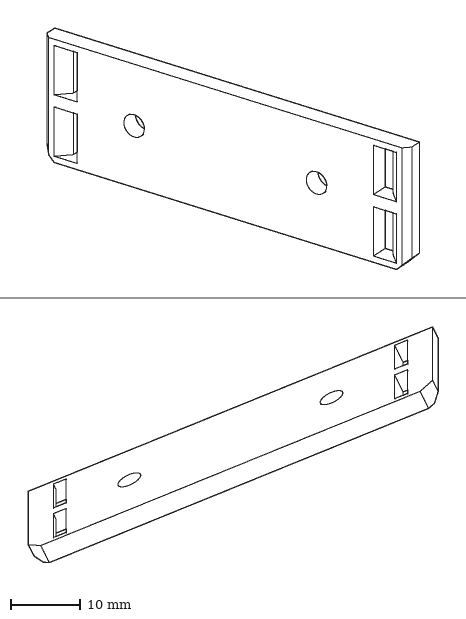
import cadquery as cq

length = 64.0
thickness = 3.0
height = 20.0
front_y = -thickness / 2
back_y = thickness / 2

corner_bevel = 2.0
end_bevel = 1.0

hole_diameter = 3.6
hole_offset = length / 4

slot_end_margin = 2.0
slot_edge_margin = 1.0
rib_height = 2.0
slot_height = (height - 2 * slot_edge_margin - rib_height) / 2
slot_offset_z = (slot_height + rib_height) / 2
slot_through_width = 2.05
slot_ramp = 2.0


def make_plate():
    """Plate with bevelled bottom corners and bevelled front edges at both ends."""
    plate = cq.Workplane("XY").box(length, thickness, height)
    plate = plate.faces("<Z").edges("|Y").chamfer(corner_bevel)
    for side in (-1, 1):
        plate = plate.cut(make_end_bevel(side))
    return plate


def make_end_bevel(side):
    """Triangular prism that bevels the upright front edge at one end."""
    end_x = side * length / 2
    return (
        cq.Workplane("XY")
        .moveTo(end_x, front_y)
        .lineTo(end_x - side * end_bevel, front_y)
        .lineTo(end_x, front_y + end_bevel)
        .close()
        .extrude(height / 2, both=True)
    )


def make_slot(side, center_z):
    """Through slot that widens towards the end of the plate at the front."""
    mouth_outer_x = side * (length / 2 - slot_end_margin)
    outer_x = mouth_outer_x - side * slot_ramp
    inner_x = outer_x - side * slot_through_width
    return (
        cq.Workplane("XY", origin=(0, 0, center_z))
        .moveTo(inner_x, front_y)
        .lineTo(mouth_outer_x, front_y)
        .lineTo(outer_x, front_y + slot_ramp)
        .lineTo(outer_x, back_y)
        .lineTo(inner_x, back_y)
        .close()
        .extrude(slot_height / 2, both=True)
    )


def make_holes():
    """Pair of round cutters running through the thickness."""
    return (
        cq.Workplane("XZ")
        .pushPoints([(-hole_offset, 0), (hole_offset, 0)])
        .circle(hole_diameter / 2)
        .extrude(thickness, both=True)
    )


result = make_plate().cut(make_holes())
for end_side in (-1, 1):
    for slot_z in (-slot_offset_z, slot_offset_z):
        result = result.cut(make_slot(end_side, slot_z))